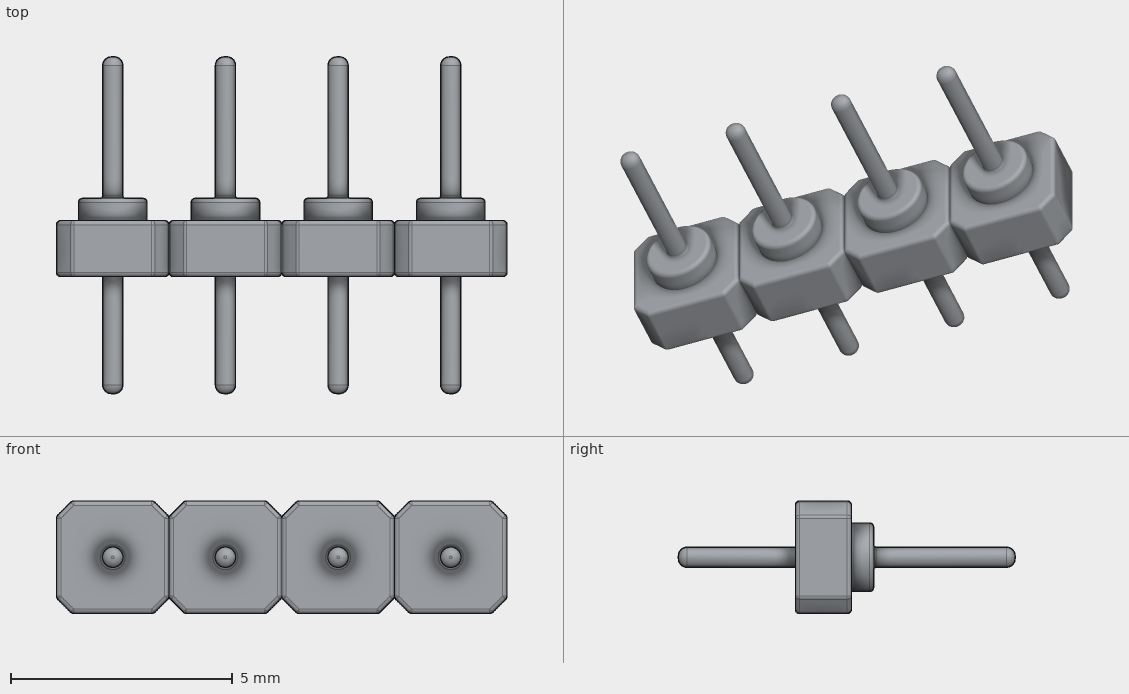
import cadquery as cq

unit_count = 4
pitch = 2.54

block_depth = 1.27
corner_chamfer = 0.35
block_fillet = 0.1

boss_diameter = 1.55
boss_height = 0.5
boss_fillet = 0.1

pin_diameter = 0.46
pin_length = 7.6
pin_front_reach = 2.64
pin_tip_fillet = 0.2

root_radius = 0.05

block_rear = block_depth
boss_rear = block_rear + boss_height
pin_front = -pin_front_reach
pin_rear = pin_front + pin_length


def cylinder_along_y(diameter, start, end):
    """Cylinder on the Y axis from start to end."""
    return cq.Workplane("XZ", origin=(0, start, 0)).circle(diameter / 2).extrude(start - end)


def make_block():
    """Square block with chamfered corners and every edge rounded."""
    block = cq.Workplane("XY").box(pitch, block_depth, pitch, centered=(True, False, True))
    return block.edges("|Y").chamfer(corner_chamfer).edges().fillet(block_fillet)


def make_boss():
    """Round boss with a rounded rear rim, rising from the block."""
    boss = cylinder_along_y(boss_diameter, block_rear, boss_rear)
    return boss.faces(">Y").edges().fillet(boss_fillet)


def make_pin():
    """Round pin with both tips rounded."""
    pin = cylinder_along_y(pin_diameter, pin_front, pin_rear)
    return pin.faces("<Y or >Y").edges().fillet(pin_tip_fillet)


def make_ring(face_y):
    """Ring around the pin, widest on the face at face_y and narrowing to the pin toward +Y.

    Its quarter-circle flank is tangent to the pin on the +Y side and to the face.
    """
    pin_radius = pin_diameter / 2
    profile = (
        cq.Workplane("XY")
        .moveTo(pin_radius, face_y)
        .lineTo(pin_radius + root_radius, face_y)
        .radiusArc((pin_radius, face_y + root_radius), root_radius)
        .close()
    )
    return profile.revolve(360, (0, 0, 0), (0, 1, 0))


def make_unit():
    """Block, boss and pin in one piece, flared at the boss and sunk at the front face."""
    unit = make_block().union(make_boss()).cut(make_ring(0))
    return unit.union(make_pin()).union(make_ring(boss_rear))


unit = make_unit()
first_x = -pitch * (unit_count - 1) / 2
units = [unit.translate((first_x + index * pitch, 0, 0)) for index in range(unit_count)]

result = cq.Compound.makeCompound([placed.val() for placed in units])